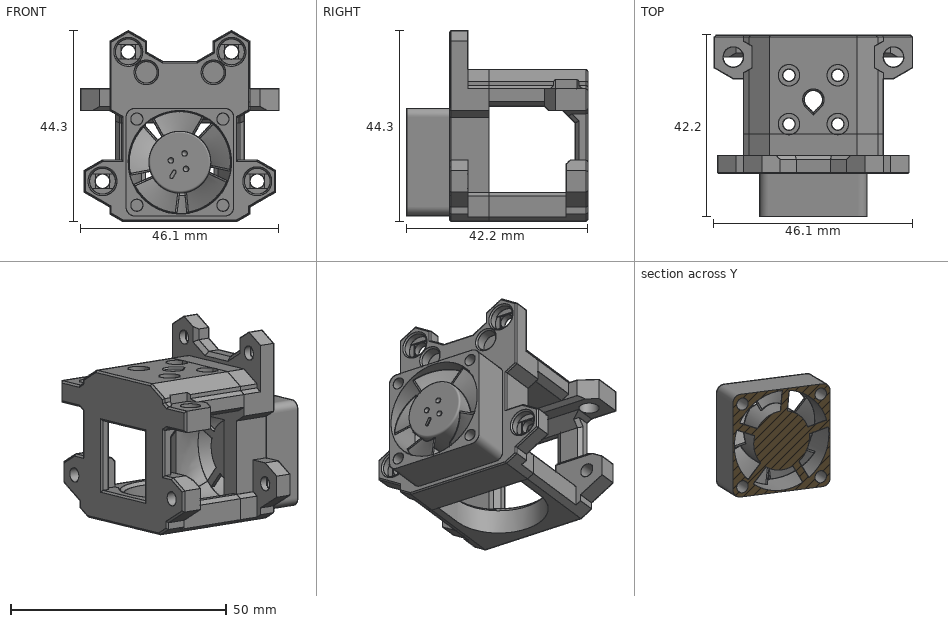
import cadquery as cq
import math

SLOPE = math.tan(math.radians(30))
HEX_POINT = 2 / math.sqrt(3)

seam_y = 9.17
rear_y = 32.2
plate_thick = 4.25
rear_ear_y = 27.05
front_bevel = 0.3
rear_bevel = 0.45
bevel = 0.95

ear_half = 4.3
upper_ear_x, upper_ear_z = 12.0, 39.35
lower_ear_x, lower_ear_z = 18.0, 9.3
body_half = upper_ear_x + ear_half
wall_half = 13.5
rail_half = 15.0
base_half = 13.3
ear_root_z = 3.3
notch_half, notch_z = 3.95, 37.15
shoulder_z = 25.72

roof_z, roof_half = 35.3, 10.2
ledge_z = 30.85
roof_edge_z = roof_z - (rail_half - roof_half) * SLOPE
roof_under_z = 26.7
roof_under_inset = 2.0
rail_top_z = 6.75
rail_flat_half = 13.6

screw_hole_d, screw_head_d = 3.3, 6.0
head_depth, bridge_step = 2.0, 0.25
magnet_d, magnet_x, magnet_z, magnet_depth = 5.0, 7.8, 34.6, 3.0
rim_bevel = 0.35

hotend_y = 17.2
mount_hole_d, mount_head_d, mount_head_depth, mount_offset = 2.8, 5.0, 3.05, 5.65
tube_hole_d = 4.25
heater_d, heater_bevel_z = 22.95, 5.95

rear_mount_x, rear_mount_y, rear_mount_d = 18.62, 27.1, 4.7
rear_mount_half = 4.4
rear_side_x = 23.05

post_front_y = 29.15
gusset_low_z = 22.85
window_half, window_low_z, window_top_z = 7.95, 7.2, 23.7
window_flare = 9.3

fan_side, fan_depth, fan_corner, fan_z = 25.0, 10.0, 2.05, 13.75
fan_bore_d, fan_hole_d, fan_hole_offset = 24.0, 2.8, 10.0
hub_d, hub_bevel = 14.4, 0.45
blade_count, blade_tip_r, blade_thick = 5, 11.75, 0.4
blade_lean = 0.55
blade_front, blade_length, blade_sweep, blade_start = 0.65, 4.0, 59.0, -6.5
rib_width, rib_thick, rib_embed = 1.85, 0.9, 0.25
dimple_d = 1.3
dimples = [(1.1, 2.05), (-2.07, 0.4), (1.45, -1.55)]
slot_x, slot_z, slot_length, slot_width, slot_angle = -1.6, -2.8, 2.1, 0.85, 60.0
slot_depth = 0.65


def mirrored(right_side):
    """Close a right-half outline by mirroring it across X = 0."""
    return right_side + [(-x, z) for x, z in reversed(right_side)]


def front_plane(y):
    """Sketch plane facing the front; negative extrusions run towards +Y."""
    return cq.Workplane(cq.Plane(origin=(0, y, 0), xDir=(1, 0, 0), normal=(0, -1, 0)))


def prism(outline, y_start, y_end):
    return front_plane(y_start).polyline(outline).close().extrude(y_start - y_end)


def bore(x, z, diameter, y_start, y_end):
    return front_plane(y_start).center(x, z).circle(diameter / 2).extrude(y_start - y_end)


def box(x_start, x_end, y_start, y_end, z_start, z_end):
    size = (x_end - x_start, y_end - y_start, z_end - z_start)
    return cq.Workplane("XY").box(*size, centered=False).translate((x_start, y_start, z_start))


def beveled_bore(x, z, diameter, depth):
    """Blind hole from the front plate face with a bevelled rim."""
    hole = bore(x, z, diameter, 0, depth)
    rim = front_plane(0).center(x, z).circle(diameter / 2 + rim_bevel)
    rim = rim.workplane(offset=-rim_bevel).circle(diameter / 2).loft()
    return hole.union(rim)


def mount_hole(x, y):
    """Vertical screw hole counterbored from the roof."""
    hole = cq.Workplane("XY").center(x, y).circle(mount_hole_d / 2).extrude(roof_z)
    head = cq.Workplane("XY", origin=(x, y, roof_z)).circle(mount_head_d / 2).extrude(-mount_head_depth)
    return hole.union(head)


hex_rise = ear_half * SLOPE
hex_tip = ear_half * HEX_POINT
ear_side_x = lower_ear_x + ear_half
ear_top_z = lower_ear_z + hex_tip
belly = [
    (base_half, 0),
    (body_half, (body_half - base_half) * SLOPE),
]
lower_ear = [
    (body_half, ear_root_z),
    (ear_side_x, ear_root_z + (ear_side_x - body_half) * SLOPE),
    (ear_side_x, lower_ear_z + hex_rise),
    (lower_ear_x, ear_top_z),
]
shoulder = [
    (wall_half, shoulder_z - (body_half - wall_half) * SLOPE),
    (body_half, shoulder_z),
]
rail = [
    (base_half, 0),
    (rail_half, (rail_half - base_half) * SLOPE),
    (rail_half, rail_top_z - (rail_half - rail_flat_half) * SLOPE),
    (rail_flat_half, rail_top_z),
]
roof = [
    (body_half, ledge_z),
    (rail_half, ledge_z + (body_half - rail_half) * SLOPE),
    (rail_half, roof_edge_z),
    (roof_half, roof_z),
]


def front_plate():
    inner_x = upper_ear_x - ear_half
    notch_side_z = notch_z + (inner_x - notch_half) * SLOPE
    right_side = belly + lower_ear + [(wall_half, ear_top_z)] + shoulder + [
        (body_half, upper_ear_z + hex_rise),
        (upper_ear_x, upper_ear_z + hex_tip),
        (inner_x, upper_ear_z + hex_rise),
        (inner_x, notch_side_z),
        (notch_half, notch_z),
    ]
    plate = prism(mirrored(right_side), 0, plate_thick)
    plate = plate.faces("<Y").chamfer(front_bevel)
    notch_zone = cq.selectors.BoxSelector(
        (-inner_x - 0.45, plate_thick - 0.45, notch_z - 0.45),
        (inner_x + 0.45, plate_thick + 0.45, upper_ear_z + hex_rise),
    )
    return plate.faces(">Y").edges(notch_zone).chamfer(bevel)


def duct():
    """Passage from the round fan opening to a rectangular outlet at the seam."""
    radius = fan_bore_d / 2
    diagonal = radius * math.sqrt(0.5)
    outlet_half = window_half + bevel
    outlet_low_z = fan_z - radius
    inlet = front_plane(0).moveTo(-diagonal, fan_z - diagonal)
    inlet = inlet.threePointArc((0, fan_z - radius), (diagonal, fan_z - diagonal))
    inlet = inlet.threePointArc((radius, fan_z), (diagonal, fan_z + diagonal))
    inlet = inlet.threePointArc((0, fan_z + radius), (-diagonal, fan_z + diagonal))
    inlet = inlet.threePointArc((-radius, fan_z), (-diagonal, fan_z - diagonal)).close()
    outlet = front_plane(seam_y).polyline([
        (-outlet_half, outlet_low_z),
        (outlet_half, outlet_low_z),
        (outlet_half, window_top_z),
        (-outlet_half, window_top_z),
    ]).close()
    return cq.Workplane(cq.Solid.makeLoft([inlet.val(), outlet.val()], True))


def ear_screw_hole(x, z):
    """Counterbored hole whose seat steps down from a slot to a square to the round hole."""
    half = screw_hole_d / 2
    slot_end = head_depth + bridge_step
    square_end = slot_end + bridge_step
    slot = bore(x, z, screw_head_d, head_depth, slot_end).intersect(
        box(x - screw_head_d, x + screw_head_d, 0, plate_thick, z - half, z + half))
    square = box(x - half, x + half, head_depth, square_end, z - half, z + half)
    through = bore(x, z, screw_hole_d, 0, plate_thick)
    return beveled_bore(x, z, screw_head_d, head_depth).union(slot).union(square).union(through)


def make_front_housing():
    section = rail + [(wall_half, rail_top_z)] + shoulder + roof
    housing = front_plate().union(prism(mirrored(section), plate_thick, seam_y))
    housing = housing.cut(duct())
    for side in (-1, 1):
        housing = housing.cut(ear_screw_hole(side * upper_ear_x, upper_ear_z))
        housing = housing.cut(ear_screw_hole(side * lower_ear_x, lower_ear_z))
        housing = housing.cut(beveled_bore(side * magnet_x, magnet_z, magnet_d, magnet_depth))
        housing = housing.cut(mount_hole(side * mount_offset, hotend_y - mount_offset))
    return housing


def teardrop(radius, z):
    """Circle with a right-angled point towards the front."""
    touch = radius * math.sqrt(0.5)
    sketch = cq.Workplane("XY", origin=(0, hotend_y, z)).moveTo(touch, -touch)
    sketch = sketch.threePointArc((0, radius), (-touch, -touch))
    return sketch.lineTo(0, -radius * math.sqrt(2)).close()


def tube_hole():
    radius = tube_hole_d / 2
    hole = teardrop(radius, shoulder_z).extrude(roof_z - shoulder_z)
    lower = teardrop(radius, roof_z - rim_bevel).val()
    upper = teardrop(radius + rim_bevel, roof_z).val()
    return hole.union(cq.Workplane(cq.Solid.makeLoft([lower, upper], True)))


def heater_outline(radius, z):
    """U outline: round at the rear, straight towards the seam."""
    sketch = cq.Workplane("XY", origin=(0, 0, z)).moveTo(-radius, 0).lineTo(-radius, hotend_y)
    return sketch.threePointArc((0, hotend_y + radius), (radius, hotend_y)).lineTo(radius, 0).close()


def heater_opening():
    """Opening with a 45-degree bevel rising to the window sill."""
    radius = heater_d / 2
    opening = heater_outline(radius, 0).extrude(window_low_z)
    lower = heater_outline(radius, heater_bevel_z).val()
    upper = heater_outline(radius + window_low_z - heater_bevel_z, window_low_z).val()
    return opening.union(cq.Workplane(cq.Solid.makeLoft([lower, upper], True)))


def rear_wall():
    """Back wall with a 45-degree gusset below the roof and bevelled outer edges."""
    gusset_front_y = post_front_y - (roof_under_z - gusset_low_z)
    profile = [
        (rear_y, 0),
        (rear_y, roof_under_z),
        (gusset_front_y, roof_under_z),
        (post_front_y, gusset_low_z),
        (post_front_y, 0),
    ]
    wall = cq.Workplane("YZ").polyline(profile).close().extrude(rail_half, both=True)
    inner_edges = cq.selectors.BoxSelector(
        (-rail_half - 0.45, gusset_front_y + 0.45, 0.45),
        (rail_half + 0.45, post_front_y + 0.45, roof_under_z - 0.45),
    )
    for side in ("<X", ">X"):
        wall = wall.faces(side).edges(inner_edges).chamfer(bevel)
    wall = wall.intersect(prism(mirrored(belly + [(body_half, roof_under_z)]), 0, rear_y))
    flare = prism(mirrored([
        (rail_half - bevel, shoulder_z - (body_half - rail_half + bevel) * SLOPE),
        (body_half, shoulder_z),
    ]), 0, rear_y)
    gusset = cq.Workplane("YZ").polyline(profile).close().extrude(body_half, both=True)
    sill = box(-window_flare, window_flare, rear_ear_y, rear_y, 0, window_low_z)
    return wall.union(flare.intersect(gusset)).union(sill)


def window():
    """Opening in the rear wall, bevelled along its uprights."""
    outline = [
        (-window_half, rear_y),
        (-window_half, post_front_y + bevel),
        (-window_flare, post_front_y),
        (window_flare, post_front_y),
        (window_half, post_front_y + bevel),
        (window_half, rear_y),
    ]
    sketch = cq.Workplane("XY", origin=(0, 0, window_low_z)).polyline(outline).close()
    return sketch.extrude(window_top_z - window_low_z)


def lower_rear_ear():
    """Right lower ear, bevelled along its top front edge."""
    outline = [(window_flare, 0)] + belly + lower_ear + [(window_flare, ear_top_z)]
    ear = prism(outline, rear_ear_y, rear_y)
    top_edge = cq.Workplane("YZ").polyline([
        (rear_ear_y, ear_top_z - bevel),
        (rear_ear_y, ear_top_z),
        (rear_ear_y + bevel, ear_top_z),
    ]).close().extrude(rear_side_x)
    return ear.cut(top_edge)


def rear_mount_ear():
    """Right upper ear: half a hexagon around a vertical hole, squared off to the rear."""
    front_y = rear_mount_y - rear_mount_half * HEX_POINT
    outline = [
        (0, front_y),
        (rear_mount_x, front_y),
        (rear_side_x, front_y + (rear_side_x - rear_mount_x) * SLOPE),
        (rear_side_x, rear_y),
        (0, rear_y),
    ]
    ear = cq.Workplane("XY", origin=(0, 0, shoulder_z)).polyline(outline).close()
    ear = ear.extrude(ledge_z - shoulder_z)
    lip = cq.Workplane("YZ").polyline([
        (front_y, shoulder_z),
        (front_y, roof_under_z),
        (front_y + roof_under_z - shoulder_z, shoulder_z),
    ]).close().extrude(rear_side_x)
    return ear.cut(lip)


def rear_mount_clearance():
    """Vertical hole of the right upper ear and the hexagonal room above the ear."""
    centre = cq.Workplane("XY", origin=(rear_mount_x, rear_mount_y, 0))
    hole = centre.circle(rear_mount_d / 2).extrude(roof_z)
    hole = hole.intersect(box(0, rear_side_x + rear_mount_d, 0, rear_y, shoulder_z - 0.45, roof_z))
    room = cq.Workplane("XY", origin=(rear_mount_x, rear_mount_y, ledge_z))
    room = room.transformed(rotate=(0, 0, 90)).polygon(6, 2 * rear_mount_half * HEX_POINT)
    return hole.union(room.extrude(roof_z - ledge_z))


def make_rear_housing():
    roof_section = [
        (body_half - roof_under_inset, roof_under_z),
        (body_half, roof_under_z + roof_under_inset * SLOPE),
    ] + roof
    housing = prism(mirrored(roof_section), seam_y, rear_y)
    housing = housing.union(prism(mirrored(rail), seam_y, rear_y))
    housing = housing.union(rear_wall())
    for right in (lower_rear_ear(), rear_mount_ear()):
        housing = housing.union(right).union(right.mirror("YZ"))
    housing = cq.Workplane(housing.cut(window()).solids().val())
    housing = housing.faces(">Y").chamfer(rear_bevel)
    clearance = rear_mount_clearance()
    housing = housing.cut(clearance).cut(clearance.mirror("YZ"))
    front_space = box(-rear_side_x, rear_side_x, 0, seam_y, 0, roof_z)
    housing = housing.cut(heater_opening().cut(front_space)).cut(tube_hole())
    roof_space = box(-rear_side_x, rear_side_x, seam_y, rear_y, shoulder_z, roof_z)
    for side in (-1, 1):
        housing = housing.cut(bore(side * lower_ear_x, lower_ear_z, screw_hole_d, rear_ear_y, rear_y))
        for offset in (-mount_offset, mount_offset):
            hole = mount_hole(side * mount_offset, hotend_y + offset)
            housing = housing.cut(hole.intersect(roof_space))
    return housing


def blade():
    """One twisted blade, starting just inside the hub."""
    root_r = hub_d / 2 - bevel
    back_y = blade_front + blade_length - fan_depth
    half = blade_thick / 2
    section = front_plane(back_y).polyline([
        (root_r, -half),
        (blade_tip_r, -half - blade_lean),
        (blade_tip_r, half - blade_lean),
        (root_r, half),
    ]).close()
    return section.twistExtrude(blade_length, blade_sweep)


def rib():
    """Rib behind a blade that ties the hub to the frame."""
    return box(0, fan_bore_d / 2 + rib_embed, -rib_thick, 0, -rib_width / 2, rib_width / 2)


def dimple(x, z):
    return cq.Workplane("XY").sphere(dimple_d / 2).translate((x, -fan_depth, z))


def make_fan():
    face_y = -fan_depth
    body = front_plane(face_y).rect(fan_side, fan_side).extrude(-fan_depth)
    body = body.edges("|Y").fillet(fan_corner)
    body = body.cut(bore(0, 0, fan_bore_d, face_y, 0))
    for side in (-1, 1):
        for level in (-1, 1):
            body = body.cut(bore(side * fan_hole_offset, level * fan_hole_offset, fan_hole_d, face_y, 0))
    hub = bore(0, 0, hub_d, face_y, 0).faces("<Y").edges().fillet(hub_bevel)
    for x, z in dimples:
        hub = hub.cut(dimple(x, z))
    slot = front_plane(face_y).center(slot_x, slot_z).slot2D(slot_length, slot_width, slot_angle)
    hub = hub.cut(slot.extrude(-slot_depth))
    fan_body = body.union(hub)
    right_blade = blade()
    right_rib = rib()
    for index in range(blade_count):
        angle = -(blade_start + index * 360 / blade_count)
        fan_body = fan_body.union(right_blade.rotate((0, 0, 0), (0, 1, 0), angle))
        fan_body = fan_body.union(right_rib.rotate((0, 0, 0), (0, 1, 0), angle - blade_sweep / 2))
    return fan_body.translate((0, 0, fan_z))


front_housing = make_front_housing()
rear_housing = make_rear_housing()
fan = make_fan()
result = cq.Compound.makeCompound([front_housing.val(), rear_housing.val(), fan.val()])